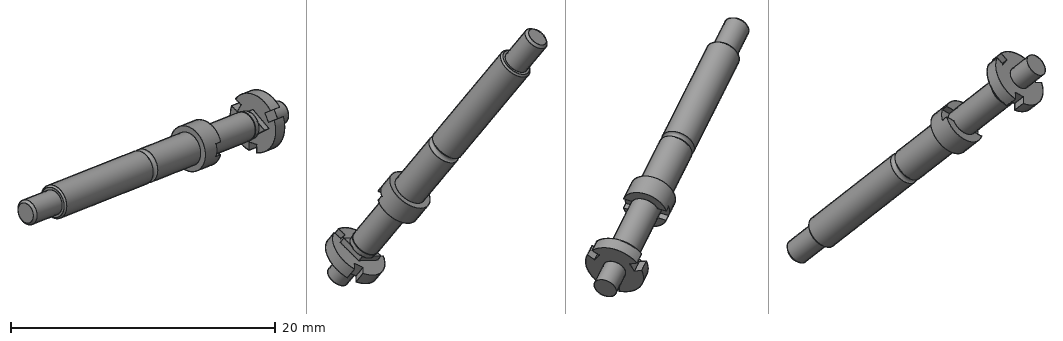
import cadquery as cq


LENGTH = 28.3
TIP_LENGTH = 3.0
COLLAR_FRONT = 18.05
COLLAR_LENGTH = 1.78
NECK_FRONT = 24.37
REAR_PIN_LENGTH = 1.98
DISC_THICKNESS = 1.02
DIAMOND_THICKNESS = 0.5
DISC_REAR = LENGTH - REAR_PIN_LENGTH
DISC_FRONT = DISC_REAR - DISC_THICKNESS
DIAMOND_FRONT = DISC_FRONT - DIAMOND_THICKNESS
COLLAR_REAR = COLLAR_FRONT + COLLAR_LENGTH

TIP_RADIUS = 1.0
BODY_RADIUS = 1.33
COLLAR_RADIUS = 1.8
SHAFT_RADIUS = 1.15
NECK_RADIUS = 1.1
DISC_RADIUS = 2.35
REAR_PIN_RADIUS = 0.9

TIP_CHAMFER = 0.2
BODY_CHAMFER = 0.15
GROOVE_CENTER = 13.02
GROOVE_RADIUS = 0.25

DIAMOND_HALF_WIDTH = 1.67
DIAMOND_HALF_HEIGHT = 1.1

SLOT_ANGLES = (30, 150, 270)
SLOT_WIDTH = 0.75
SLOT_FLOOR = 1.65

NOTCH_ANGLES = (0, 180)
NOTCH_WIDTH = 1.05
NOTCH_DEPTH = 0.5

CUT_MARGIN = 0.28


def cylinder(radius, start, end):
    """Cylinder on the Y axis from y = start to y = end."""
    return cq.Workplane("XZ", origin=(0, start, 0)).circle(radius).extrude(start - end)


def radial_cutter(angle, inner, outer, width, start, end):
    """Box reaching out from the axis at an angle measured from +X towards +Z."""
    box = cq.Workplane("XY").box(outer - inner, end - start, width)
    box = box.translate(((inner + outer) / 2, (start + end) / 2, 0))
    return box.rotate((0, 0, 0), (0, 1, 0), -angle)


def make_front():
    """Chamfered tip and body, with a half-round groove around the body."""
    tip = cylinder(TIP_RADIUS, 0, TIP_LENGTH).faces("<Y").chamfer(TIP_CHAMFER)
    body = cylinder(BODY_RADIUS, TIP_LENGTH, COLLAR_FRONT).faces("<Y").chamfer(BODY_CHAMFER)
    groove = (
        cq.Workplane("XY")
        .center(BODY_RADIUS, GROOVE_CENTER)
        .circle(GROOVE_RADIUS)
        .revolve(360, (-BODY_RADIUS, 0), (-BODY_RADIUS, 1))
    )
    return tip.union(body.cut(groove))


def make_collar():
    """Collar notched down to the shaft on opposite sides of its rear face."""
    collar = cylinder(COLLAR_RADIUS, COLLAR_FRONT, COLLAR_REAR)
    for angle in NOTCH_ANGLES:
        collar = collar.cut(radial_cutter(
            angle, 0, COLLAR_RADIUS + CUT_MARGIN, NOTCH_WIDTH,
            COLLAR_REAR - NOTCH_DEPTH, COLLAR_REAR + CUT_MARGIN,
        ))
    return collar


def make_shaft():
    """Plain shaft followed by a slightly thinner neck."""
    shaft = cylinder(SHAFT_RADIUS, COLLAR_FRONT, NECK_FRONT)
    return shaft.union(cylinder(NECK_RADIUS, NECK_FRONT, DIAMOND_FRONT))


def make_diamond():
    """Diamond plate with its long diagonal along X."""
    corners = [
        (DIAMOND_HALF_WIDTH, 0),
        (0, DIAMOND_HALF_HEIGHT),
        (-DIAMOND_HALF_WIDTH, 0),
        (0, -DIAMOND_HALF_HEIGHT),
    ]
    plane = cq.Workplane("XZ", origin=(0, DIAMOND_FRONT, 0))
    return plane.polyline(corners).close().extrude(-DIAMOND_THICKNESS)


def make_disc():
    """Slotted disc with the rear pin behind it."""
    disc = cylinder(DISC_RADIUS, DISC_FRONT, DISC_REAR)
    for angle in SLOT_ANGLES:
        disc = disc.cut(radial_cutter(
            angle, SLOT_FLOOR, DISC_RADIUS + CUT_MARGIN, SLOT_WIDTH,
            DISC_FRONT - CUT_MARGIN, DISC_REAR + CUT_MARGIN,
        ))
    return disc.union(cylinder(REAR_PIN_RADIUS, DISC_REAR, LENGTH))


result = (
    make_front()
    .union(make_collar())
    .union(make_shaft())
    .union(make_diamond())
    .union(make_disc())
)